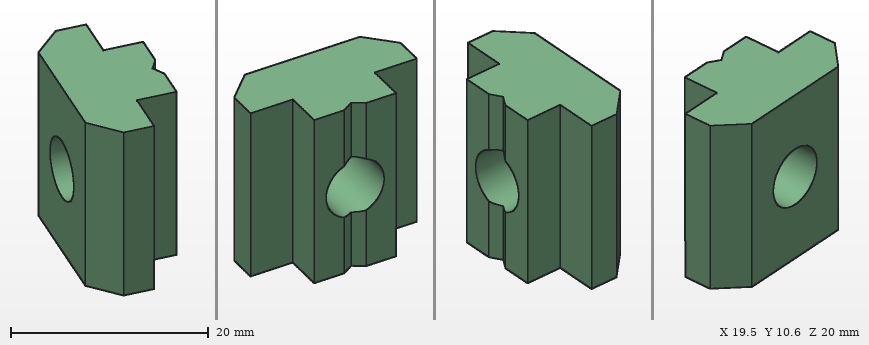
import cadquery as cq

width = 19.5
depth = 10.6
length = 20.0

stem_width = 9.6
stem_height = 4.3
chamfer = 3.0
groove_width = 2.6
groove_depth = 0.8

hole_diameter = 6.8

front = -depth / 2
back = depth / 2
shoulder = back - stem_height

half_outline = [
    (width / 2 - chamfer, front),
    (width / 2, front + chamfer),
    (width / 2, shoulder),
    (stem_width / 2, shoulder),
    (stem_width / 2, back),
    (groove_width / 2, back),
    (0, back - groove_depth),
]


def make_body():
    """Extrude the mirrored section along Z, centred on the origin."""
    mirrored = [(-x, y) for x, y in reversed(half_outline[:-1])]
    section = cq.Workplane("XY").polyline(half_outline + mirrored).close()
    return section.extrude(length / 2, both=True)


def make_hole():
    """Cylinder through the full depth along Y."""
    return cq.Workplane("XZ").circle(hole_diameter / 2).extrude(depth, both=True)


result = make_body().cut(make_hole())